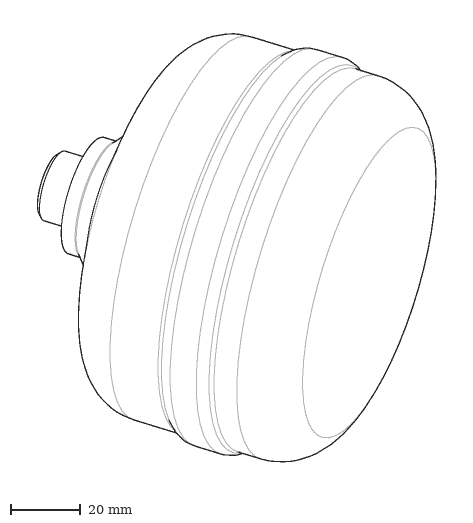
import cadquery as cq
import math

shoulder_x = 11.2
collar_end_x = 15.8
neck_end_x = 22.1
front_wall_x = 44.6
bead_center_x = 68.5
rear_wall_x = 84.5
total_length = 108.2

spigot_radius = 21.0 / 2
collar_radius = 35.0 / 2
neck_end_radius = 24.4
wall_radius = 115.0 / 2
bead_radius = 119 / 2

spigot_chamfer = 1.2
collar_fillet = 0.6
front_corner_radius = 15.5
rear_corner_radius = 16.7

bead_width = 17.6
bead_top_width = 8.2
bead_crest_blend = 4.6


def arc_point(center, radius, angle):
    """Point of a circle at an angle in radians, measured from +X."""
    return (center[0] + radius * math.cos(angle), center[1] + radius * math.sin(angle))


def collar_blend():
    """Start, middle and end of the concave fillet between collar and conical neck."""
    slope = math.atan2(neck_end_radius - collar_radius, neck_end_x - collar_end_x)
    center = (collar_end_x - collar_fillet * math.tan(slope / 2), collar_radius + collar_fillet)
    return [arc_point(center, collar_fillet, -math.pi / 2 + part * slope) for part in (0, 0.5, 1)]


def front_corner():
    """Start and middle of the arc tangent to both the front cone and the wall."""
    center = (front_wall_x, wall_radius - front_corner_radius)
    run = center[0] - neck_end_x
    rise = center[1] - neck_end_radius
    cone_angle = math.atan2(rise, run) + math.asin(front_corner_radius / math.hypot(run, rise))
    start_angle = cone_angle + math.pi / 2
    start = arc_point(center, front_corner_radius, start_angle)
    middle = arc_point(center, front_corner_radius, (start_angle + math.pi / 2) / 2)
    return start, middle


def bead_side():
    """Points of the S-curve up the bead's front side, from the wall to the flat top."""
    wall_x = bead_center_x - bead_width / 2
    top_x = bead_center_x - bead_top_width / 2
    run = top_x - wall_x
    rise = bead_radius - wall_radius
    root_blend = (run**2 + rise**2) / (2 * rise) - bead_crest_blend
    root_center = (wall_x, wall_radius + root_blend)
    crest_center = (top_x, bead_radius - bead_crest_blend)
    turn = math.asin(run / (root_blend + bead_crest_blend))
    return [
        (wall_x, wall_radius),
        arc_point(root_center, root_blend, -math.pi / 2 + turn / 2),
        arc_point(root_center, root_blend, -math.pi / 2 + turn),
        arc_point(crest_center, bead_crest_blend, math.pi / 2 + turn / 2),
        (top_x, bead_radius),
    ]


def rear_dome():
    """Middle and end of the rear corner arc, then the middle of the tangent spherical crown."""
    corner_center = (rear_wall_x, wall_radius - rear_corner_radius)
    pole_gap = total_length - corner_center[0]
    crown_radius = (pole_gap**2 + corner_center[1] ** 2 - rear_corner_radius**2) / (
        2 * (pole_gap - rear_corner_radius)
    )
    crown_center = (total_length - crown_radius, 0)
    joint_angle = math.atan2(corner_center[1], corner_center[0] - crown_center[0])
    corner_middle = arc_point(corner_center, rear_corner_radius, (joint_angle + math.pi / 2) / 2)
    joint = arc_point(corner_center, rear_corner_radius, joint_angle)
    crown_middle = arc_point(crown_center, crown_radius, joint_angle / 2)
    return corner_middle, joint, crown_middle


def half_profile():
    """Closed half section of the vessel, in the XY plane above the X axis."""
    fillet_start, fillet_middle, fillet_end = collar_blend()
    corner_start, corner_middle = front_corner()
    side = bead_side()
    far_side = [(2 * bead_center_x - x, radius) for x, radius in reversed(side)]
    dome_corner_middle, dome_joint, crown_middle = rear_dome()

    profile = (
        cq.Workplane("XY")
        .lineTo(0, spigot_radius - spigot_chamfer)
        .lineTo(spigot_chamfer, spigot_radius)
        .lineTo(shoulder_x, spigot_radius)
        .lineTo(shoulder_x, collar_radius)
        .lineTo(*fillet_start)
        .threePointArc(fillet_middle, fillet_end)
        .lineTo(neck_end_x, neck_end_radius)
        .lineTo(*corner_start)
        .threePointArc(corner_middle, (front_wall_x, wall_radius))
    )
    for start, first_middle, joint, second_middle, end in (side, far_side):
        profile = profile.lineTo(*start).threePointArc(first_middle, joint).threePointArc(second_middle, end)
    return (
        profile.lineTo(rear_wall_x, wall_radius)
        .threePointArc(dome_corner_middle, dome_joint)
        .threePointArc(crown_middle, (total_length, 0))
        .close()
    )


result = half_profile().revolve(360, (0, 0, 0), (1, 0, 0)).translate((-total_length / 2, 0, 0))